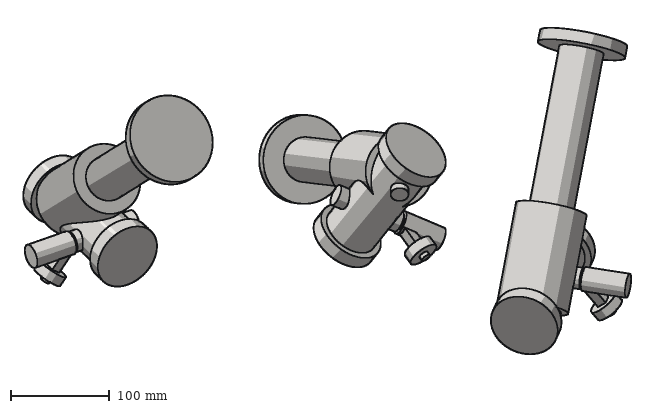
import cadquery as cq
import math

pipe_diameter = 57.0
pipe_length = 145.8
pipe_flange_diameter = 70.2
pipe_flange_thickness = 15.3

branch_start_x = 33.5
branch_angle = 45
barrel_diameter = 73.0
barrel_length = 102.0
tube_diameter = 46.0
branch_length = 280.0
branch_flange_diameter = 90
branch_flange_thickness = 12.0

drain_x = 32.8
drain_diameter = 18.0
drain_bottom_z = -35.5

spindle_x = 95.0
boss_diameter = 22.0
boss_back_y = 38.5
boss_front_y = -35.0
neck_diameter = 16.0
grip_diameter = 24.8
grip_start_y = -37.0
grip_end_y = -83.3

stem_start_y = -41.8
stem_start_z = -6.3
stem_angle = 50
stem_width = 10.6
stem_length = 24.0
knob_diameter = 31.7
knob_thickness = 11
knob_tip_diameter = 10.0
knob_tip_length = 4.5


def cylinder(diameter, length, start, direction):
    """Solid cylinder running from the start point along the direction."""
    return cq.Workplane(cq.Solid.makeCylinder(diameter / 2, length, cq.Vector(*start), cq.Vector(*direction)))


def along(start, direction, distance):
    """Point at a distance from the start along a unit direction."""
    return tuple(s + distance * d for s, d in zip(start, direction))


def make_main_pipe():
    x_axis = (1, 0, 0)
    pipe = cylinder(pipe_diameter, pipe_length, (0, 0, 0), x_axis)
    for flange_x in (0, pipe_length - pipe_flange_thickness):
        pipe = pipe.union(cylinder(pipe_flange_diameter, pipe_flange_thickness, (flange_x, 0, 0), x_axis))
    drain = cylinder(drain_diameter, -drain_bottom_z, (drain_x, 0, 0), (0, 0, -1))
    return pipe.union(drain)


def make_branch():
    angle = math.radians(branch_angle)
    axis = (math.cos(angle), 0, math.sin(angle))
    start = (branch_start_x, 0, 0)
    flange_start = along(start, axis, branch_length - branch_flange_thickness)
    barrel = cylinder(barrel_diameter, barrel_length, start, axis)
    tube = cylinder(tube_diameter, branch_length, start, axis)
    flange = cylinder(branch_flange_diameter, branch_flange_thickness, flange_start, axis)
    return barrel.union(tube).union(flange)


def make_spindle():
    toward_front = (0, -1, 0)
    spindle = cylinder(boss_diameter, boss_back_y - boss_front_y, (spindle_x, boss_back_y, 0), toward_front)
    for diameter, back_y, front_y in (
        (neck_diameter, boss_front_y, grip_start_y),
        (grip_diameter, grip_start_y, grip_end_y),
    ):
        spindle = spindle.union(cylinder(diameter, back_y - front_y, (spindle_x, back_y, 0), toward_front))
    return spindle


def make_knob():
    angle = math.radians(stem_angle)
    axis = (0, -math.cos(angle), -math.sin(angle))
    start = (spindle_x, stem_start_y, stem_start_z)
    knob_start = along(start, axis, stem_length)
    tip_start = along(knob_start, axis, knob_thickness)
    stem_plane = cq.Plane(origin=start, xDir=(1, 0, 0), normal=axis)
    stem = cq.Workplane(stem_plane).rect(stem_width, stem_width).extrude(stem_length)
    knob = cylinder(knob_diameter, knob_thickness, knob_start, axis)
    tip = cylinder(knob_tip_diameter, knob_tip_length, tip_start, axis)
    return stem.union(knob).union(tip)


result = make_main_pipe().union(make_branch()).union(make_spindle()).union(make_knob())